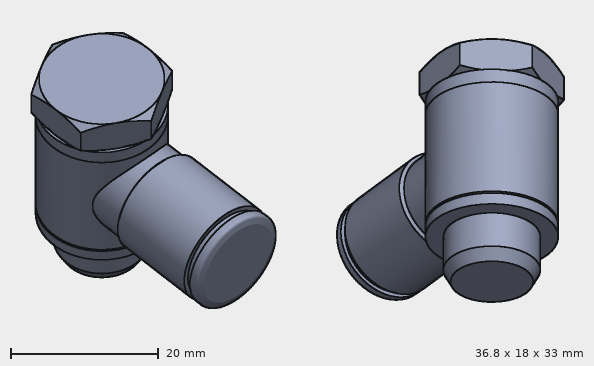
import cadquery as cq
import math

total_height = 33.0
hex_across_flats = 17.0
hex_height = 5.0
hex_chamfer_angle = 30.0
stem_diameter = 13.15
stem_tip_diameter = 11.2
stem_tip_height = 1.8

barrel_diameter = 18.0
collar_height = 2.0
housing_height = 17.0
washer_gap = 0.3
washer_height = 1.7

neck_diameter = 14.0
socket_diameter = 15.1
socket_start = 10.95
socket_end = 24.45
socket_cone_angle = 60.0

button_neck_diameter = 13.7
button_neck_length = 1.05
button_diameter = 15.0
button_end_diameter = 12.55
button_arc_length = 0.45
button_arc_drop = 0.35
button_cone_length = 0.2
overall_length = 36.8

hex_across_corners = hex_across_flats / math.cos(math.radians(30))
hex_bottom = total_height - hex_height
collar_bottom = hex_bottom - collar_height
housing_bottom = collar_bottom - housing_height
washer_bottom = housing_bottom - washer_gap - washer_height
branch_height = housing_bottom + housing_height / 2
cone_rise = (socket_diameter - neck_diameter) / 2
cone_end = socket_start + cone_rise / math.tan(math.radians(socket_cone_angle))
branch_end = overall_length - hex_across_corners / 2


def make_ring(bottom, height):
    """Ring of the barrel diameter that fits around the bolt stem."""
    return (
        cq.Workplane("XY", origin=(0, 0, bottom))
        .circle(barrel_diameter / 2)
        .circle(stem_diameter / 2)
        .extrude(height)
    )


def branch_cylinder(diameter, start, end):
    """Solid cylinder on the branch axis from X = start to X = end."""
    return (
        cq.Workplane("YZ", origin=(start, 0, branch_height))
        .circle(diameter / 2)
        .extrude(end - start)
    )


def make_hex_head():
    """Hexagon with its corners cut back by a cone at both ends."""
    hexagon = (
        cq.Workplane("XY", origin=(0, 0, hex_bottom))
        .polygon(6, hex_across_corners)
        .extrude(hex_height)
    )
    flat_radius = hex_across_flats / 2
    corner_radius = hex_across_corners / 2
    corner_drop = (corner_radius - flat_radius) * math.tan(math.radians(hex_chamfer_angle))
    envelope = (
        cq.Workplane("XZ")
        .moveTo(0, hex_bottom)
        .lineTo(flat_radius, hex_bottom)
        .lineTo(corner_radius, hex_bottom + corner_drop)
        .lineTo(corner_radius, total_height - corner_drop)
        .lineTo(flat_radius, total_height)
        .lineTo(0, total_height)
        .close()
        .revolve(360, (0, 0, 0), (0, 1, 0))
    )
    return hexagon.intersect(envelope)


def make_bolt():
    """Hex head on a round stem with a conical tip."""
    stem = (
        cq.Workplane("XZ")
        .lineTo(stem_tip_diameter / 2, 0)
        .lineTo(stem_diameter / 2, stem_tip_height)
        .lineTo(stem_diameter / 2, hex_bottom)
        .lineTo(0, hex_bottom)
        .close()
        .revolve(360, (0, 0, 0), (0, 1, 0))
    )
    return make_hex_head().union(stem)


def make_housing():
    """Barrel with a side branch, bored through for the bolt stem."""
    barrel = (
        cq.Workplane("XY", origin=(0, 0, housing_bottom))
        .circle(barrel_diameter / 2)
        .extrude(housing_height)
    )
    neck = branch_cylinder(neck_diameter, 0, socket_start)
    socket = branch_cylinder(socket_diameter, cone_end, socket_end)
    cone = (
        cq.Workplane("YZ", origin=(socket_start, 0, branch_height))
        .circle(neck_diameter / 2)
        .extrude(cone_end - socket_start, taper=-socket_cone_angle)
    )
    stem_bore = (
        cq.Workplane("XY", origin=(0, 0, housing_bottom))
        .circle(stem_diameter / 2)
        .extrude(housing_height)
    )
    return barrel.union(neck).union(cone).union(socket).cut(stem_bore)


def make_release_button():
    """Disc with a rounded, conical rim, standing off the socket end on a narrower neck."""
    neck_radius = button_neck_diameter / 2
    disc_radius = button_diameter / 2
    disc_start = socket_end + button_neck_length
    cone_start = branch_end - button_cone_length
    arc_start = cone_start - button_arc_length
    return (
        cq.Workplane("XZ", origin=(0, 0, branch_height))
        .moveTo(socket_end, 0)
        .lineTo(socket_end, neck_radius)
        .lineTo(disc_start, neck_radius)
        .lineTo(disc_start, disc_radius)
        .lineTo(arc_start, disc_radius)
        .tangentArcPoint((cone_start, disc_radius - button_arc_drop), relative=False)
        .lineTo(branch_end, button_end_diameter / 2)
        .lineTo(branch_end, 0)
        .close()
        .revolve(360, (0, 0, 0), (1, 0, 0))
    )


bolt = make_bolt()
collar = make_ring(collar_bottom, collar_height)
housing = make_housing()
washer = make_ring(washer_bottom, washer_height)
release_button = make_release_button()

result = cq.Compound.makeCompound([
    bolt.val(),
    collar.val(),
    housing.val(),
    washer.val(),
    release_button.val(),
])